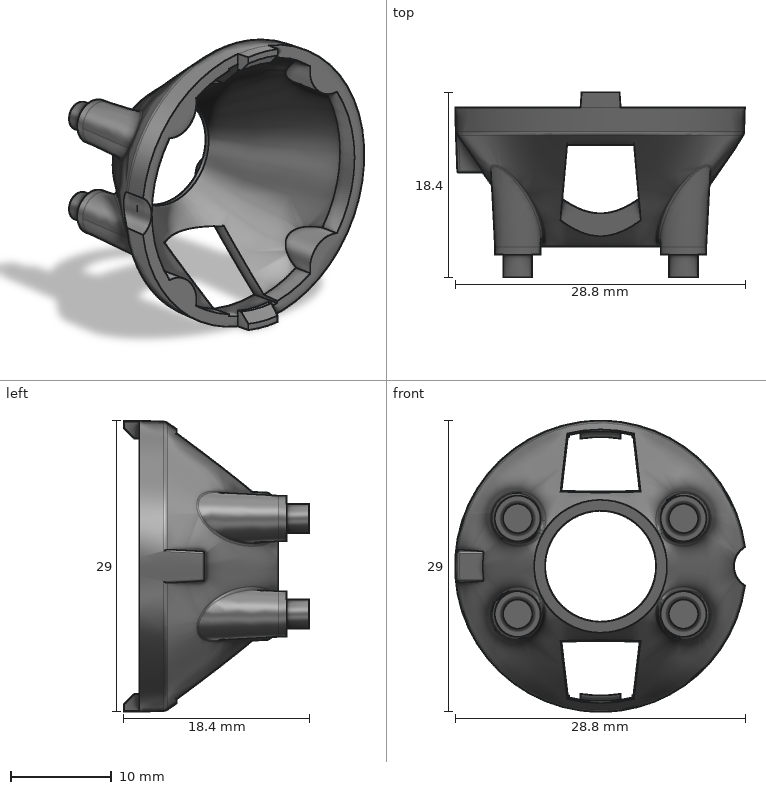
import cadquery as cq
import math

rim_radius = 14.485
rim_draft = 2.0
rim_length = 2.62
rim_edge_round = 0.75
rim_bore_radius = 13.2
front_y = -13.85
front_radius = 6.6
bore_radius = 5.5
wall = 1.2

window_floor_z = 7.27
window_end_radius = 14.13
window_floor_half_width = 4.13
window_end_half_width = 3.83
window_draft = 3.0

tab_length = 1.5
tab_inner_radius = 12.83
tab_tip_inner_radius = 13.83
tab_land = 0.46
tab_half_width = 2.0
tab_tip_half_width = 1.9

peg_x = 8.24
peg_z = 4.75
peg_collar_radius = 2.27
peg_pin_radius = 1.45
peg_shoulder_y = -14.65
peg_tip_y = -16.9
peg_draft = 3.0
peg_foot_fillet = 0.3
peg_foot_back_y = -1.5

key_front_y = -6.5
key_inner_x = 11.0
key_overlap = 1.0
key_half_width = 1.47
key_draft = 3.0
key_edge_round = 0.2
key_skirt = 0.4

notch_x = 15.5
notch_radius = 2.24

post_offset = 10.35
post_radius = 2.95

rim_end_radius = rim_radius - rim_length * math.tan(math.radians(rim_draft))
cone_slope = (rim_end_radius - front_radius) / (-front_y - rim_length)
cone_angle = math.atan(cone_slope)
wall_along_y = wall / math.sin(cone_angle)
lip_back_y = front_y + wall_along_y - (front_radius - bore_radius) / cone_slope
cavity_corner_y = lip_back_y + (rim_bore_radius - bore_radius) / cone_slope


def turned(points):
    """Turn an outline of (radius, y) points about the Y axis."""
    return cq.Workplane("XY").polyline(points).close().revolve(360, (0, 0, 0), (0, 1, 0))


def facing_back(y):
    """Sketch plane at y with its normal along +Y; sketch x is X and sketch y is -Z."""
    return cq.Workplane(cq.Plane(origin=(0, y, 0), xDir=(1, 0, 0), normal=(0, 1, 0)))


def outer_form():
    body = turned([
        (0, 0),
        (rim_radius, 0),
        (rim_end_radius, -rim_length),
        (front_radius, front_y),
        (0, front_y),
    ])
    rim_end = cq.selectors.BoxSelector(
        (-rim_radius, -rim_length - 0.1, -rim_radius),
        (rim_radius, -rim_length + 0.1, rim_radius),
    )
    return body.edges(rim_end).fillet(rim_edge_round)


def inner_post(side_x, side_z):
    centre = (side_x * post_offset, -side_z * post_offset)
    return facing_back(front_y).center(*centre).circle(post_radius).extrude(-front_y)


def cavity():
    """Inside of the shell, leaving the round posts standing."""
    hollow = turned([
        (0, 0),
        (rim_bore_radius, 0),
        (rim_bore_radius, cavity_corner_y),
        (bore_radius, lip_back_y),
        (bore_radius, front_y),
        (0, front_y),
    ])
    for side_x in (-1, 1):
        for side_z in (-1, 1):
            hollow = hollow.cut(inner_post(side_x, side_z))
    return hollow


def window(side):
    end_corner_z = math.sqrt(window_end_radius**2 - window_end_half_width**2)
    return (
        facing_back(front_y)
        .moveTo(-window_floor_half_width, -side * window_floor_z)
        .lineTo(-window_end_half_width, -side * end_corner_z)
        .threePointArc((0, -side * window_end_radius), (window_end_half_width, -side * end_corner_z))
        .lineTo(window_floor_half_width, -side * window_floor_z)
        .close()
        .extrude(-front_y, taper=window_draft)
    )


def notch():
    return facing_back(front_y).center(notch_x, 0).circle(notch_radius).extrude(-front_y)


def tabs():
    ring = turned([
        (tab_inner_radius, 0),
        (rim_radius, 0),
        (rim_radius, tab_length),
        (tab_tip_inner_radius, tab_length),
        (tab_inner_radius, tab_land),
    ])
    strip = (
        cq.Workplane("XY")
        .polyline([
            (-tab_half_width, 0),
            (tab_half_width, 0),
            (tab_tip_half_width, tab_length),
            (-tab_tip_half_width, tab_length),
        ])
        .close()
        .extrude(rim_radius, both=True)
    )
    return ring.intersect(strip)


def peg_foot(x, z):
    return (
        facing_back(front_y)
        .center(x, -z)
        .circle(peg_collar_radius)
        .extrude(peg_foot_back_y - front_y, taper=-peg_draft)
    )


def round_feet(body):
    """Round the free-form curves where the pegs leave the cone."""
    reach = rim_radius
    cone_zone = cq.selectors.BoxSelector((-reach, front_y, -reach), (reach, -5, reach))
    feet = body.edges("%BSPLINE").filter(lambda edge: abs(edge.Center().z) > peg_z - peg_collar_radius)
    return feet.edges(cone_zone).fillet(peg_foot_fillet)


def peg_end(x, z):
    collar = facing_back(peg_shoulder_y).center(x, -z).circle(peg_collar_radius)
    pin = facing_back(peg_tip_y).center(x, -z).circle(peg_pin_radius)
    return collar.extrude(front_y - peg_shoulder_y).union(pin.extrude(front_y - peg_tip_y))


def key():
    """Drafted block that carries on the rim face, with its outer and front edges rounded."""
    key_tip_radius = rim_radius + key_front_y * math.tan(math.radians(rim_draft))
    limit = turned([
        (0, 0),
        (rim_radius, 0),
        (key_tip_radius, key_front_y),
        (0, key_front_y),
    ])
    block = (
        facing_back(key_front_y)
        .center(-rim_radius, 0)
        .rect(2 * (rim_radius - key_inner_x), 2 * key_half_width)
        .extrude(-key_front_y - key_overlap, taper=-key_draft)
        .intersect(limit)
    )
    front_edges = block.faces("<Y").edges()
    outer_edges = block.faces("<X").edges("(not >Y) and (not <Y)")
    return front_edges.add(outer_edges).fillet(key_edge_round)


peg_places = [(side_x * peg_x, side_z * peg_z) for side_x in (-1, 1) for side_z in (-1, 1)]

body = outer_form()
for x, z in peg_places:
    body = body.union(peg_foot(x, z))
body = round_feet(body)
body = body.union(key())
body = body.cut(cavity())
for side in (-1, 1):
    body = body.cut(window(side))
body = body.cut(notch())
for x, z in peg_places:
    body = body.union(peg_end(x, z))
result = body.union(tabs())